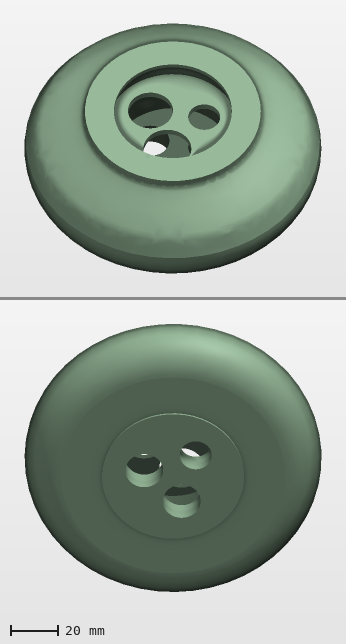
import cadquery as cq
import math

foot_height = 1.0
base_height = 20.0
shell_height = 21.08
cup_height = 21.0
base_floor_thickness = 10.0

base_bottom = foot_height
parting_height = base_bottom + base_height
top_height = parting_height + shell_height
pocket_floor = base_bottom + base_floor_thickness
cup_top = pocket_floor + cup_height

overall_diameter = 125.5
rim_radius = 15.5
foot_diameter = 60.13

shoulder_radius = 56.2
shoulder_height = 29.0
neck_radius = 37.15
flare_radius = 38.9
flare_height = 37.6
flare_slope = 26.5
shoulder_slope = 32.0
rim_slope = 51.7
opening_diameter = 49.86
lip_thickness = 2.0

cup_diameter = 55.0
cup_inner_diameter = 51.0
cup_top_thickness = 3.0

large_hole_circle_radius = 12.5
large_hole_angle = 30.0
small_hole_offset = 14.0
small_hole_diameter = 13.5
base_hole_diameter = 16.0
left_cup_hole_diameter = 19.0
right_cup_hole_diameter = 20.3

large_hole_x = large_hole_circle_radius * math.cos(math.radians(large_hole_angle))
large_hole_y = -large_hole_circle_radius * math.sin(math.radians(large_hole_angle))
left_hole = (-large_hole_x, large_hole_y)
right_hole = (large_hole_x, large_hole_y)
small_hole = (0, small_hole_offset)


def cylinder(diameter, bottom, top, center=(0, 0)):
    """Vertical cylinder between two heights."""
    return (
        cq.Workplane("XY", origin=(center[0], center[1], bottom))
        .circle(diameter / 2)
        .extrude(top - bottom)
    )


def revolve_about_z(profile):
    """Full turn of a radius-height profile about the part's axis."""
    return profile.close().revolve(360, (0, 0, 0), (0, 1, 0))


def drill(body, holes, bottom, top):
    """Cut vertical holes, given as (center, diameter) pairs, between two heights."""
    for center, diameter in holes:
        body = body.cut(cylinder(diameter, bottom, top, center))
    return body


def rim_point(angle):
    """Radius and height on the rim arc, at an angle in radians above its widest point."""
    rim_center_radius = overall_diameter / 2 - rim_radius
    rim_center_height = base_bottom + rim_radius
    return (
        rim_center_radius + rim_radius * math.cos(angle),
        rim_center_height + rim_radius * math.sin(angle),
    )


rim_end_angle = math.asin((base_height - rim_radius) / rim_radius)
rim_start = rim_point(-math.pi / 2)
rim_end = rim_point(rim_end_angle)


def make_base():
    profile = (
        cq.Workplane("XZ")
        .moveTo(0, base_bottom)
        .lineTo(*rim_start)
        .threePointArc(rim_point(0), rim_end)
        .lineTo(0, parting_height)
    )
    body = revolve_about_z(profile)
    body = body.union(cylinder(foot_diameter, 0, base_bottom))
    body = body.cut(cylinder(cup_diameter, pocket_floor, parting_height))
    holes = [
        (left_hole, base_hole_diameter),
        (right_hole, base_hole_diameter),
        (small_hole, small_hole_diameter),
    ]
    return drill(body, holes, 0, pocket_floor)


def downhill(slope):
    """Outward and downward unit direction at a slope in degrees below horizontal."""
    angle = math.radians(slope)
    return (math.cos(angle), -math.sin(angle))


def make_shell():
    flank = [
        (flare_radius, flare_height),
        (shoulder_radius, shoulder_height),
        rim_end,
    ]
    flank_directions = [
        downhill(slope) for slope in (90, flare_slope, shoulder_slope, rim_slope)
    ]
    profile = (
        cq.Workplane("XZ")
        .moveTo(0, top_height)
        .lineTo(neck_radius, top_height)
        .spline(flank, tangents=flank_directions, includeCurrent=True)
        .lineTo(0, parting_height)
    )
    body = revolve_about_z(profile)
    lip_bottom = top_height - lip_thickness
    body = body.cut(cylinder(cup_diameter, parting_height, lip_bottom))
    return body.cut(cylinder(opening_diameter, lip_bottom, top_height))


def make_cup():
    cup_ceiling = cup_top - cup_top_thickness
    body = cylinder(cup_diameter, pocket_floor, cup_top)
    body = body.cut(cylinder(cup_inner_diameter, pocket_floor, cup_ceiling))
    holes = [
        (left_hole, left_cup_hole_diameter),
        (right_hole, right_cup_hole_diameter),
        (small_hole, small_hole_diameter),
    ]
    return drill(body, holes, cup_ceiling, cup_top)


base = make_base()
shell = make_shell()
cup = make_cup()

result = cq.Compound.makeCompound([base.val(), shell.val(), cup.val()])